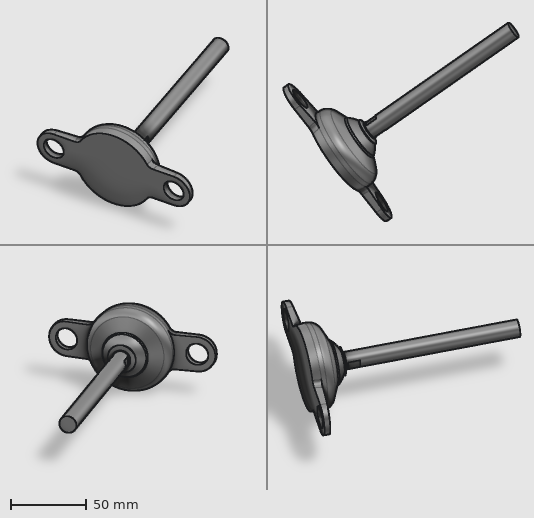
import cadquery as cq
import math

total_length = 148.0

sole_radius = 29.3
rim_radius = 29.97
rim_height = 5.9
shoulder_start_radius = 29.7
shoulder_start_height = 9.2
shoulder_mid_radius = 28.5
shoulder_mid_height = 12.5
shoulder_end_radius = 25.6
shoulder_end_height = 15.4
slope_mid_radius = 21.2
slope_mid_height = 17.6
lip_radius = 16.0
lip_height = 20.0
seat_height = 21.3

lug_span = 116.0
lug_radius = 12.5
lug_end_height = 4.0
lug_hole_radius = 7.5
lug_fillet = 5.2
lug_offset = lug_span / 2 - lug_radius

shaft_radius = 6.0
dome_radius = 19.8
dome_center_height = 8.6
dome_top_height = 26.3
collar_radius = 9.8
collar_height = 27.1
neck_radius = 6.4
neck_height = 28.1
neck_top_height = 28.5
flat_start = 29.7
flat_end = 37.9
flat_distance = 10.0


def dome_radius_at(height):
    """Distance from the axis to the spherical dome at a height above the sole."""
    return math.sqrt(dome_radius**2 - (height - dome_center_height) ** 2)


def revolve_about_y(profile):
    return profile.close().revolve(360, (0, 0, 0), (0, 1, 0))


def make_sole():
    """Lower part of the base: a flaring disc joined to two lugs with blended corners."""
    disc = revolve_about_y(
        cq.Workplane("XY")
        .lineTo(sole_radius, 0)
        .lineTo(rim_radius, rim_height)
        .lineTo(0, rim_height)
    )
    plate = cq.Workplane("XZ").slot2D(lug_span, 2 * lug_radius).extrude(-rim_height)
    corner_x = math.sqrt(sole_radius**2 - lug_radius**2)
    sole = disc.union(plate)
    for side_x in (-1, 1):
        for side_z in (-1, 1):
            corner = (side_x * corner_x, rim_height / 2, side_z * lug_radius)
            sole = sole.edges(cq.selectors.NearestToPointSelector(corner)).fillet(lug_fillet)

    envelope = revolve_about_y(
        cq.Workplane("XY")
        .lineTo(lug_span / 2, 0)
        .lineTo(lug_span / 2, lug_end_height)
        .lineTo(rim_radius, rim_height)
        .lineTo(0, rim_height)
    )
    holes = (
        cq.Workplane("XZ")
        .pushPoints([(-lug_offset, 0), (lug_offset, 0)])
        .circle(lug_hole_radius)
        .extrude(-rim_height)
    )
    return sole.intersect(envelope).cut(holes)


def make_shoulder():
    """Upper part of the base, curving in from the rim to the seat under the dome."""
    profile = (
        cq.Workplane("XY")
        .moveTo(0, rim_height)
        .lineTo(rim_radius, rim_height)
        .lineTo(shoulder_start_radius, shoulder_start_height)
        .threePointArc((shoulder_mid_radius, shoulder_mid_height), (shoulder_end_radius, shoulder_end_height))
        .threePointArc((slope_mid_radius, slope_mid_height), (lip_radius, lip_height))
        .lineTo(dome_radius_at(seat_height), seat_height)
        .lineTo(0, seat_height)
    )
    return revolve_about_y(profile)


def make_base():
    return make_sole().union(make_shoulder()).solids()


def make_stem():
    dome_mid_height = (seat_height + dome_top_height) / 2
    profile = (
        cq.Workplane("XY")
        .moveTo(0, seat_height)
        .lineTo(dome_radius_at(seat_height), seat_height)
        .threePointArc(
            (dome_radius_at(dome_mid_height), dome_mid_height),
            (dome_radius_at(dome_top_height), dome_top_height),
        )
        .lineTo(collar_radius, collar_height)
        .lineTo(neck_radius, neck_height)
        .lineTo(shaft_radius, neck_top_height)
        .lineTo(shaft_radius, total_length)
        .lineTo(0, total_length)
    )
    stem = revolve_about_y(profile)

    flat_length = flat_end - flat_start
    for side in (-1, 1):
        cutter = cq.Workplane("XY").box(shaft_radius, flat_length, 2 * shaft_radius)
        cutter_x = side * (flat_distance + shaft_radius) / 2
        stem = stem.cut(cutter.translate((cutter_x, (flat_start + flat_end) / 2, 0)))
    return stem.solids()


base = make_base()
stem = make_stem()

result = cq.Compound.makeCompound([base.val(), stem.val()])